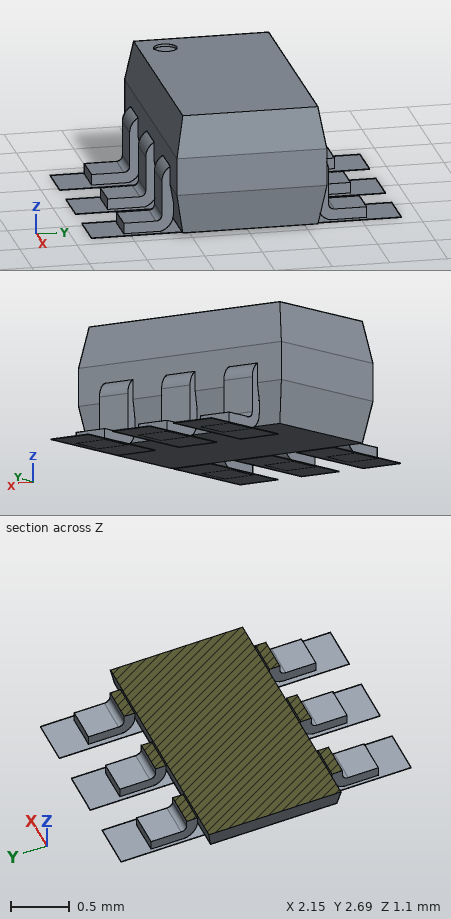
import cadquery as cq

BODY_LENGTH = 2.15
BODY_WIDTH = 1.302
BODY_BOTTOM = 0.048
BELT_BOTTOM = 0.412
BELT_TOP = 0.74
BODY_TOP = 1.1
TAPER_INSET = 0.065

DIMPLE_DIAMETER = 0.2
DIMPLE_DEPTH = 0.022
DIMPLE_X = -0.783
DIMPLE_Y = -0.358

LEAD_WIDTH = 0.3
LEAD_THICKNESS = 0.1
INNER_BEND_RADIUS = 0.05
OUTER_BEND_RADIUS = INNER_BEND_RADIUS + LEAD_THICKNESS
LEAD_TOE_Y = 1.055
LEAD_UPRIGHT_Y = 0.724
LEAD_ROOT_Y = 0.538
LEAD_SHOULDER_Z = 0.603
LEAD_PITCH = 0.66
LEAD_ROW_OFFSET = -0.01

PAD_WIDTH = 0.398
PAD_LENGTH = 0.95
PAD_THICKNESS = 0.005
PAD_PITCH = 0.65
PAD_OUTER_Y = 1.345

PLACES_IN_ROW = (-1, 0, 1)


def make_frustum(belt_z, end_z):
    """Loft from the full belt outline to the inset outline at end_z."""
    return (
        cq.Workplane("XY", origin=(0, 0, belt_z))
        .rect(BODY_LENGTH, BODY_WIDTH)
        .workplane(offset=end_z - belt_z)
        .rect(BODY_LENGTH - 2 * TAPER_INSET, BODY_WIDTH - 2 * TAPER_INSET)
        .loft(ruled=True)
    )


def make_body():
    belt = (
        cq.Workplane("XY", origin=(0, 0, BELT_BOTTOM))
        .rect(BODY_LENGTH, BODY_WIDTH)
        .extrude(BELT_TOP - BELT_BOTTOM)
    )
    dimple = (
        cq.Workplane("XY", origin=(DIMPLE_X, DIMPLE_Y, BODY_TOP))
        .circle(DIMPLE_DIAMETER / 2)
        .extrude(-DIMPLE_DEPTH)
    )
    upper = make_frustum(BELT_TOP, BODY_TOP)
    lower = make_frustum(BELT_BOTTOM, BODY_BOTTOM)
    return belt.union(upper).union(lower).cut(dimple)


def make_lead(x):
    """Gull-wing strip on the +Y side: foot, upright, and shoulder ending inside the body."""
    back_y = LEAD_UPRIGHT_Y - LEAD_THICKNESS
    foot_bend_y = LEAD_UPRIGHT_Y + INNER_BEND_RADIUS
    foot_bend_z = OUTER_BEND_RADIUS
    shoulder_bend_y = LEAD_UPRIGHT_Y - OUTER_BEND_RADIUS
    shoulder_bend_z = LEAD_SHOULDER_Z - OUTER_BEND_RADIUS
    return (
        cq.Workplane("YZ", origin=(x, 0, 0))
        .moveTo(LEAD_TOE_Y, 0)
        .lineTo(LEAD_TOE_Y, LEAD_THICKNESS)
        .lineTo(foot_bend_y, LEAD_THICKNESS)
        .radiusArc((LEAD_UPRIGHT_Y, foot_bend_z), INNER_BEND_RADIUS)
        .lineTo(LEAD_UPRIGHT_Y, shoulder_bend_z)
        .radiusArc((shoulder_bend_y, LEAD_SHOULDER_Z), -OUTER_BEND_RADIUS)
        .lineTo(LEAD_ROOT_Y, LEAD_SHOULDER_Z)
        .lineTo(LEAD_ROOT_Y, LEAD_SHOULDER_Z - LEAD_THICKNESS)
        .lineTo(shoulder_bend_y, LEAD_SHOULDER_Z - LEAD_THICKNESS)
        .radiusArc((back_y, shoulder_bend_z), INNER_BEND_RADIUS)
        .lineTo(back_y, foot_bend_z)
        .radiusArc((foot_bend_y, 0), -OUTER_BEND_RADIUS)
        .close()
        .extrude(LEAD_WIDTH / 2, both=True)
    )


def make_pad(x):
    """Flat pad on the +Y side, lying on the seating plane."""
    return (
        cq.Workplane("XY", origin=(x, PAD_OUTER_Y - PAD_LENGTH / 2, 0))
        .rect(PAD_WIDTH, PAD_LENGTH)
        .extrude(PAD_THICKNESS)
    )


result = make_body()
for place in PLACES_IN_ROW:
    lead = make_lead(LEAD_ROW_OFFSET + place * LEAD_PITCH)
    pad = make_pad(place * PAD_PITCH)
    contact = lead.union(pad)
    result = result.union(contact).union(contact.mirror("XZ"))